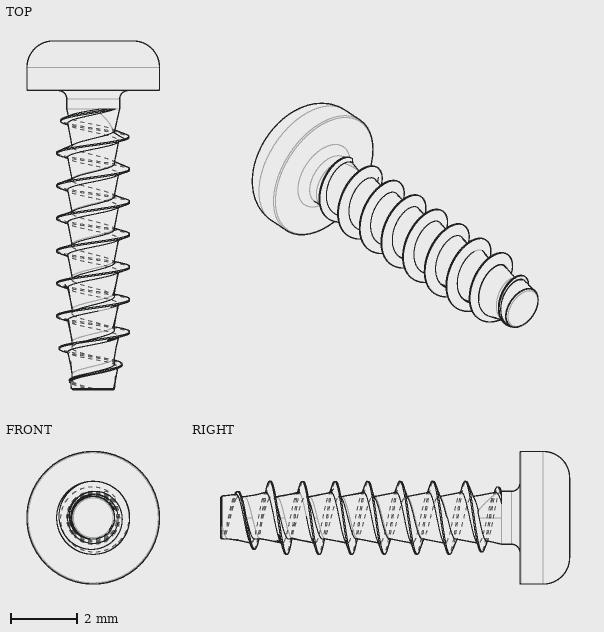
import math

import cadquery as cq


head_radius = 2.0
head_height = 1.5
crown_radius = 0.8
rim_radius = 0.04

shank_length = 9.0
neck_radius = 0.8
neck_length = 0.55
neck_fillet = 0.25
core_radius = 0.64
core_start = 1.25
tip_edge_radius = 0.04
dish_depth = 0.04
dish_radius = core_radius - tip_edge_radius

pitch = 0.98
thread_start = 0.41
crest_radius = 1.1
crest_half_width = 0.02
flank_angle = 18.0
flank_slope = math.tan(math.radians(flank_angle))
root_radius = 0.77
ridge_overlap = 0.05
root_overlap = 0.003
buried_radius = core_radius - ridge_overlap
root_end_radius = core_radius - root_overlap
turn_gap = 0.006
full_head_flank = crest_half_width + (crest_radius - root_end_radius) * flank_slope
root_end_offset = pitch - full_head_flank - turn_gap

run_in_radius = 0.88
run_in_turns = 1.1
run_out_turns = 1.5
root_run_out_turns = 0.9
threaded_end = shank_length - tip_edge_radius
thread_turns = (shank_length - thread_start) / pitch
points_per_turn = 16


def revolve_about_y(outline):
    return outline.close().revolve(360, (0, 0, 0), (0, 1, 0))


def make_head():
    head = cq.Workplane("XZ").circle(head_radius).extrude(-head_height)
    return head.faces(">Y").edges().fillet(crown_radius).faces("<Y").edges().fillet(rim_radius)


def make_core():
    outline = (
        cq.Workplane("XY")
        .lineTo(neck_radius + neck_fillet, 0)
        .radiusArc((neck_radius, -neck_fillet), -neck_fillet)
        .lineTo(neck_radius, -neck_length)
        .lineTo(core_radius, -core_start)
        .lineTo(core_radius, -threaded_end)
        .radiusArc((core_radius - tip_edge_radius, -shank_length), tip_edge_radius)
        .lineTo(0, -shank_length)
    )
    return revolve_about_y(outline)


def blend(start, end, fraction):
    return start + (end - start) * min(max(fraction, 0), 1)


def thread_section(turn):
    """Corners of the thread section as (offset toward the tip, radius) at a given turn."""
    turns_left = thread_turns - turn
    run_in = blend(run_in_radius, crest_radius, turn / run_in_turns)
    run_out = blend(root_end_radius, crest_radius, turns_left / run_out_turns)
    crest = min(run_in, run_out)
    root = blend(root_end_radius, root_radius, turns_left / root_run_out_turns)
    root = min(root, crest)
    head_flank = crest_half_width + (crest - buried_radius) * flank_slope
    tip_flank = crest_half_width + (crest - root) * flank_slope
    return [
        (-head_flank, buried_radius),
        (-crest_half_width, crest),
        (crest_half_width, crest),
        (tip_flank, root),
        (root_end_offset, root_end_radius),
    ]


def helix_point(turn, offset, radius):
    angle = 2 * math.pi * turn
    depth = thread_start + pitch * turn + offset
    return cq.Vector(radius * math.cos(angle), -depth, radius * math.sin(angle))


def make_thread():
    steps = math.ceil(thread_turns * points_per_turn)
    turns = [thread_turns * step / steps for step in range(steps + 1)]
    sections = [[helix_point(turn, *corner) for corner in thread_section(turn)] for turn in turns]
    rails = [cq.Edge.makeSpline(list(rail)) for rail in zip(*sections)]
    faces = [
        cq.Face.makeRuledSurface(rail, rails[(index + 1) % len(rails)])
        for index, rail in enumerate(rails)
    ]
    for section in (sections[0], sections[-1]):
        faces.append(cq.Face.makeFromWires(cq.Wire.makePolygon(section, close=True)))
    ridge = cq.Solid.makeSolid(cq.Shell.makeShell(faces))
    threaded_zone = (
        cq.Workplane("XZ", origin=(0, -neck_length, 0))
        .circle(head_radius)
        .extrude(threaded_end - neck_length)
    )
    return threaded_zone.intersect(cq.Workplane(ridge))


def make_tip_dish():
    sphere_radius = (dish_radius**2 + dish_depth**2) / (2 * dish_depth)
    sphere_center_depth = shank_length + sphere_radius - dish_depth
    return cq.Workplane("XY").sphere(sphere_radius).translate((0, -sphere_center_depth, 0))


result = make_head().union(make_core()).union(make_thread()).cut(make_tip_dish())